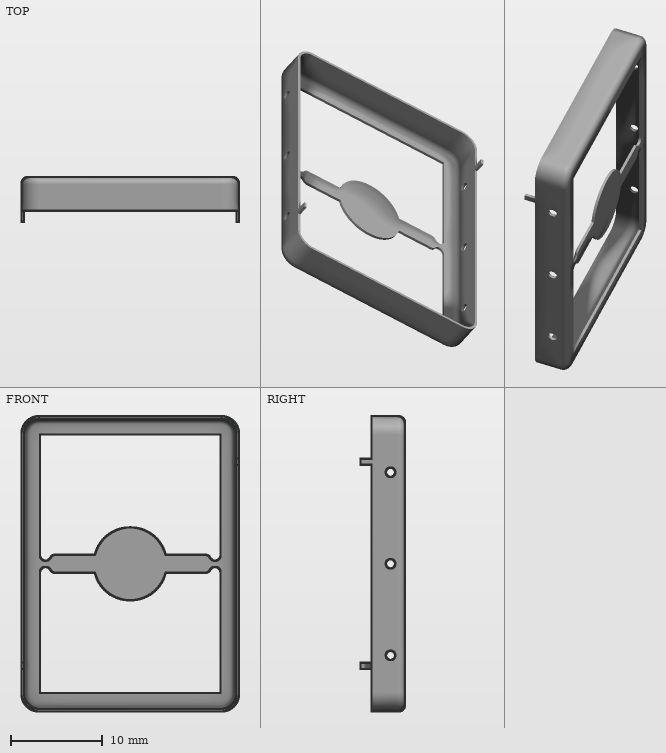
import cadquery as cq
import math

WIDTH = 23.8
HEIGHT = 32.3
DEPTH = 3.7
WALL = 0.3
CORNER_RADIUS = 2.0
OUTER_FLOOR_RADIUS = 0.8
INNER_FLOOR_RADIUS = 0.57
OPEN_FACE_Y = 0.0
FLOOR_FACE_Y = OPEN_FACE_Y + DEPTH

FLOOR_BORDER = 2.05
WINDOW_HALF_WIDTH = WIDTH / 2 - FLOOR_BORDER
WINDOW_HALF_HEIGHT = HEIGHT / 2 - FLOOR_BORDER
DISC_RADIUS = 4.0
BRIDGE_HALF_HEIGHT = 1.0
NECK_HALF_HEIGHT = 0.35
NOTCH_RADIUS = 0.6
SHOULDER_RADIUS = 0.6

HOLE_DIAMETER = 1.0
HOLE_PITCH = 10.0
HOLE_FROM_FLOOR_FACE = 1.6

TAB_LENGTH = 1.2
TAB_HEIGHT = 0.7
TAB_OFFSET_Z = 11.15


def rounded_block(width, height, depth, corner_radius, floor_edge_radius):
    """Block starting at the open face, with rounded corners and +Y edges."""
    block = cq.Workplane("XY").box(width, depth, height)
    block = block.translate((0, OPEN_FACE_Y + depth / 2, 0))
    return block.edges("|Y").fillet(corner_radius).faces(">Y").edges().fillet(floor_edge_radius)


def make_shell():
    """Thin tray: the cavity follows the outer block at one wall thickness."""
    outer = rounded_block(WIDTH, HEIGHT, DEPTH, CORNER_RADIUS, OUTER_FLOOR_RADIUS)
    cavity = rounded_block(
        WIDTH - 2 * WALL,
        HEIGHT - 2 * WALL,
        DEPTH - WALL,
        CORNER_RADIUS - WALL,
        INNER_FLOOR_RADIUS,
    )
    return outer.cut(cavity)


def make_upper_opening():
    """Cutter for the floor opening above the bridge."""
    notch_x = WINDOW_HALF_WIDTH - NOTCH_RADIUS
    notch_z = NECK_HALF_HEIGHT + NOTCH_RADIUS

    center_distance = NOTCH_RADIUS + SHOULDER_RADIUS
    shoulder_drop = notch_z - (BRIDGE_HALF_HEIGHT - SHOULDER_RADIUS)
    shoulder_run = math.sqrt(center_distance**2 - shoulder_drop**2)
    shoulder_x = notch_x - shoulder_run
    tangent_ratio = NOTCH_RADIUS / center_distance
    tangent_x = notch_x - shoulder_run * tangent_ratio
    tangent_z = notch_z - shoulder_drop * tangent_ratio

    disc_x = math.sqrt(DISC_RADIUS**2 - BRIDGE_HALF_HEIGHT**2)

    return (
        cq.Workplane("XZ")
        .moveTo(-WINDOW_HALF_WIDTH, WINDOW_HALF_HEIGHT)
        .lineTo(WINDOW_HALF_WIDTH, WINDOW_HALF_HEIGHT)
        .lineTo(WINDOW_HALF_WIDTH, notch_z)
        .threePointArc((notch_x, NECK_HALF_HEIGHT), (tangent_x, tangent_z))
        .tangentArcPoint((shoulder_x, BRIDGE_HALF_HEIGHT), relative=False)
        .lineTo(disc_x, BRIDGE_HALF_HEIGHT)
        .threePointArc((0, DISC_RADIUS), (-disc_x, BRIDGE_HALF_HEIGHT))
        .lineTo(-shoulder_x, BRIDGE_HALF_HEIGHT)
        .tangentArcPoint((-tangent_x, tangent_z), relative=False)
        .threePointArc((-notch_x, NECK_HALF_HEIGHT), (-WINDOW_HALF_WIDTH, notch_z))
        .close()
        .extrude(-FLOOR_FACE_Y)
    )


def make_side_holes():
    """Three cylinders along X that pierce both side walls."""
    hole_y = FLOOR_FACE_Y - HOLE_FROM_FLOOR_FACE
    return (
        cq.Workplane("YZ")
        .pushPoints([(hole_y, row * HOLE_PITCH) for row in (-1, 0, 1)])
        .circle(HOLE_DIAMETER / 2)
        .extrude(WIDTH / 2, both=True)
    )


def make_tab(side):
    """Tab flush with one side wall: side +1 is +X and high, -1 is -X and low."""
    length = TAB_LENGTH + WALL
    tab = cq.Workplane("XY").box(WALL, length, TAB_HEIGHT)
    tab_x = side * (WIDTH - WALL) / 2
    tab_y = OPEN_FACE_Y - TAB_LENGTH + length / 2
    return tab.translate((tab_x, tab_y, side * TAB_OFFSET_Z))


upper_opening = make_upper_opening()
lower_opening = upper_opening.mirror("XY")

result = make_shell().cut(upper_opening).cut(lower_opening).cut(make_side_holes())
for tab_side in (-1, 1):
    result = result.union(make_tab(tab_side))